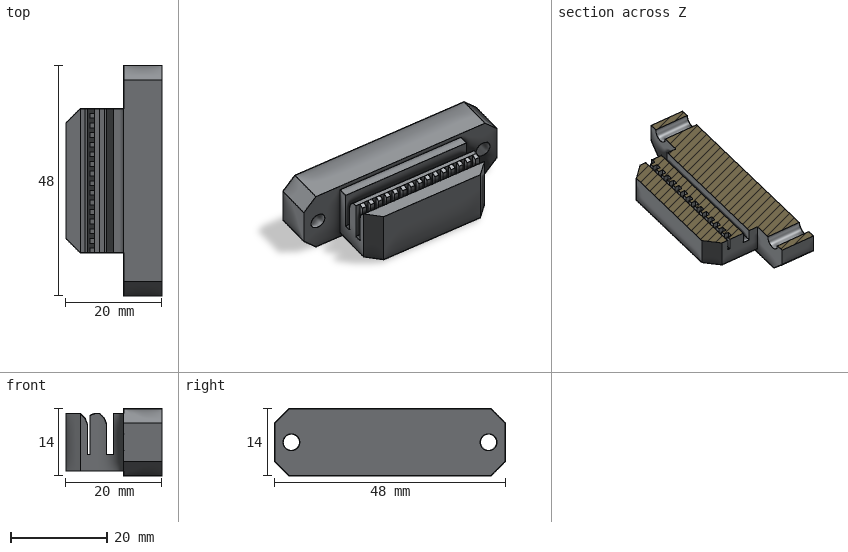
import cadquery as cq

FLANGE_X = 8.0
FLANGE_Y = 48.0
FLANGE_Z = 14.0
FLANGE_CHAMFER = 3.0
SCREW_DIAMETER = 3.4
SCREW_SPACING = 41.0

BLOCK_X = 12.0
BLOCK_Y = 30.0
BLOCK_Z = 12.0
BLOCK_CHAMFER = 3.0

SLOT_DEPTH = 8.5
LEAD_IN_WIDTH = 1.5
LEAD_IN_DROP = 2.25
SHALLOW_BEVEL_DROP = 1.0
STEEP_BEVEL_WIDTH = 0.5
FRONT_SLOT_START = 4.5
RIB_START = 5.0
RIB_END = 8.5
REAR_SLOT_END = 9.9

TOOTH_PITCH = 2.0
TOOTH_GAP = 1.0
TOOTH_DEPTH = 1.0
TOOTH_BEVEL_DROP = 0.4

BLOCK_BOTTOM = (FLANGE_Z - BLOCK_Z) / 2
BLOCK_TOP = BLOCK_BOTTOM + BLOCK_Z
SLOT_FLOOR = BLOCK_TOP - SLOT_DEPTH
HALF_BLOCK_Y = BLOCK_Y / 2
TOOTH_ROOT = RIB_START + TOOTH_DEPTH


def make_flange():
    flange = cq.Workplane("XY").box(FLANGE_X, FLANGE_Y, FLANGE_Z, centered=(False, True, False))
    flange = flange.edges("|X").chamfer(FLANGE_CHAMFER)
    return flange.translate((BLOCK_X, 0, 0))


def make_block():
    block = cq.Workplane("XY").box(BLOCK_X, BLOCK_Y, BLOCK_Z, centered=(False, True, False))
    block = block.edges("<X and |Z").chamfer(BLOCK_CHAMFER)
    return block.translate((0, 0, BLOCK_BOTTOM))


def slot_profile(wall_x):
    """Start a slot outline in XZ with its double-bevelled wall, ending on the slot floor."""
    profile = cq.Workplane("XZ").moveTo(wall_x - LEAD_IN_WIDTH, BLOCK_TOP)
    profile = profile.lineTo(wall_x - STEEP_BEVEL_WIDTH, BLOCK_TOP - SHALLOW_BEVEL_DROP)
    profile = profile.lineTo(wall_x, BLOCK_TOP - LEAD_IN_DROP)
    return profile.lineTo(wall_x, SLOT_FLOOR)


def make_front_slot():
    profile = slot_profile(FRONT_SLOT_START)
    profile = profile.lineTo(RIB_START, SLOT_FLOOR)
    profile = profile.lineTo(RIB_START, BLOCK_TOP - TOOTH_BEVEL_DROP)
    profile = profile.lineTo(TOOTH_ROOT, BLOCK_TOP)
    return profile.close().extrude(HALF_BLOCK_Y, both=True)


def make_rear_slot():
    profile = slot_profile(RIB_END)
    profile = profile.lineTo(REAR_SLOT_END, SLOT_FLOOR)
    profile = profile.lineTo(REAR_SLOT_END, BLOCK_TOP)
    return profile.close().extrude(HALF_BLOCK_Y, both=True)


def make_tooth_gaps():
    """Gaps between the teeth; the first one is open at the +Y end of the block."""
    gap_count = int(BLOCK_Y / TOOTH_PITCH)
    first_gap_y = HALF_BLOCK_Y - TOOTH_GAP / 2
    centers = []
    for index in range(gap_count):
        centers.append((RIB_START + TOOTH_DEPTH / 2, first_gap_y - index * TOOTH_PITCH))
    gaps = cq.Workplane("XY").workplane(offset=SLOT_FLOOR).pushPoints(centers)
    return gaps.rect(TOOTH_DEPTH, TOOTH_GAP).extrude(SLOT_DEPTH)


def make_screw_holes():
    centers = [(-SCREW_SPACING / 2, FLANGE_Z / 2), (SCREW_SPACING / 2, FLANGE_Z / 2)]
    holes = cq.Workplane("YZ").workplane(offset=BLOCK_X).pushPoints(centers)
    return holes.circle(SCREW_DIAMETER / 2).extrude(FLANGE_X)


body = make_flange().union(make_block())
body = body.cut(make_front_slot()).cut(make_rear_slot())
body = body.cut(make_tooth_gaps())
result = body.cut(make_screw_holes())